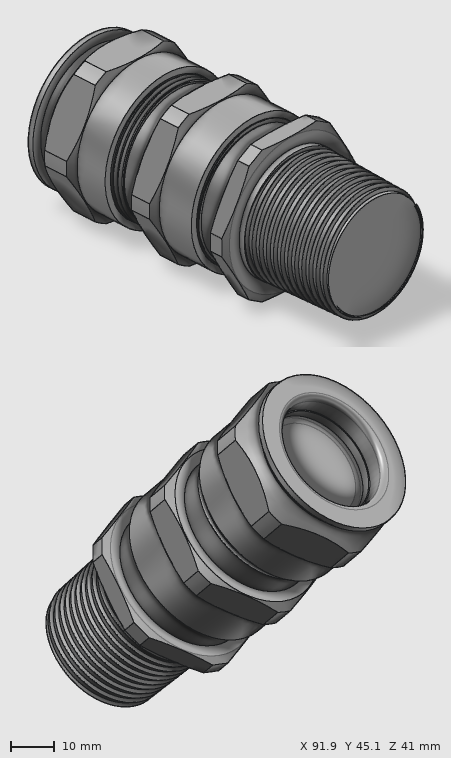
import cadquery as cq
import math


barrel_radius = 35.3 / 2
collar_radius = 20.3
across_flats = 41.0
nut_corner_radius = 22.57
entry_corner_reach = 22.25

ridge_height = 0.8
ridge_half_angle = 30
ridge_embed = 0.41
straight_pitch = 1.5
thread_clearance = 0.1
socket_radius = barrel_radius + ridge_height + thread_clearance

flange_radius = 20.2
flange_thickness = 1.52
sleeve_length = 5.4
sleeve_bore_radius = 14.0
mouth_fillet = 1.5

ring_end = 7.7
ring_bore_radius = 27.3 / 2

plug_face_radius = 12.1
plug_cone_foot_radius = 13.8
plug_face = 8.5
plug_shoulder = 8.8
plug_end = 11.0

cap_start = 3.95
cap_front_radius = 17.9
cap_cone_end = 7.5
cap_chamfer_start = 14.5
cap_hex_end = 15.8
cap_end = 24.78

male_thread_end = 28.4
male_thread_crest = 29.77
body_hex_start = 34.4
body_hex_end = 42.15
body_chamfer = 1.0
body_end = 52.4

spigot_thread_end = 53.0
spigot_thread_crest = 54.09
entry_hex_start = 59.85
entry_hex_end = 64.6
entry_chamfer = 0.6
entry_chamfer_radius = 22.4
relief_radius = 17.1
taper_start = 66.3
taper_core_end = 91.6
overall_length = 91.9

taper_pitch = 2.2
taper_slope = 1 / 32
taper_root_start = 16.2
taper_crest = 91.9
taper_end_angle = 60
end_chamfer_start = 91.2
end_chamfer_radius = 15.2
envelope_margin = 0.2


def turned(points):
    """Solid of revolution about X from (x, radius) points, closed along the axis."""
    outline = [(points[0][0], 0), *points, (points[-1][0], 0)]
    return cq.Workplane("XY").polyline(outline).close().revolve(360, (0, 0), (1, 0))


def rod(start, end, radius):
    """Cylinder along X."""
    return turned([(start, radius), (end, radius)])


def hexagonal_prism(start, end, flats):
    """Six-sided prism along X with flats facing +Z and -Z."""
    corner_diameter = flats / math.cos(math.radians(30))
    return cq.Workplane("YZ").workplane(offset=start).polygon(6, corner_diameter).extrude(end - start)


def hexagon(points):
    """Hexagon with its corners turned to the (x, radius) points."""
    return turned(points).intersect(hexagonal_prism(points[0][0], points[-1][0], across_flats))


def chamfered_hexagon(start, end, chamfer, corner_radius):
    return hexagon([
        (start, collar_radius),
        (start + chamfer, corner_radius),
        (end - chamfer, corner_radius),
        (end, collar_radius),
    ])


def thread_ridge(crest_x, start, pitch, root_radius, slope=0.0, end_angle=0.0):
    """Right-hand V ridge running in -X from crest_x to beyond start.

    root_radius is the root surface radius at crest_x; slope is its growth per unit in -X.
    end_angle turns the end at crest_x from +Z towards +Y.
    """
    length = pitch * (math.ceil((crest_x - start) / pitch) + 1)
    foot_half_width = (ridge_height + ridge_embed) * math.tan(math.radians(ridge_half_angle))

    def helix(offset, height):
        radius = root_radius + height + offset * slope
        foot = cq.Vector(0, 0, offset)
        if slope == 0:
            return cq.Wire.makeHelix(pitch, length, radius, foot)
        return cq.Wire.makeHelix(pitch, length, radius, foot, angle=math.degrees(math.atan(slope)))

    rails = [
        helix(-foot_half_width, -ridge_embed),
        helix(0, ridge_height),
        helix(foot_half_width, -ridge_embed),
    ]
    faces = []
    for first, second in zip(rails, rails[1:] + rails[:1]):
        faces.append(cq.Face.makeRuledSurface(first.Edges()[0], second.Edges()[0]))
    for end in (0, 1):
        corners = [rail.positionAt(end) for rail in rails]
        faces.append(cq.Face.makeFromWires(cq.Wire.makePolygon(corners, close=True)))
    ridge = cq.Solid.makeSolid(cq.Shell.makeShell(faces))
    ridge = cq.Solid(ridge.fix().wrapped)
    origin = cq.Vector(0, 0, 0)
    ridge = ridge.rotate(origin, cq.Vector(0, 1, 0), -90)
    ridge = ridge.rotate(origin, cq.Vector(1, 0, 0), -end_angle)
    return cq.Workplane(ridge.translate(cq.Vector(crest_x, 0, 0)))


def straight_thread(start, end, crest_x):
    """Ridge of a straight thread trimmed flat at start and end."""
    ridge = thread_ridge(crest_x, start, straight_pitch, barrel_radius)
    return ridge.intersect(rod(start, end, socket_radius))


def taper_root(x):
    return taper_root_start - (x - taper_start) * taper_slope


def make_sleeve():
    sleeve = rod(0, flange_thickness, flange_radius).union(rod(0, sleeve_length, barrel_radius))
    sleeve = sleeve.cut(rod(0, sleeve_length, sleeve_bore_radius))
    mouth = cq.selectors.RadiusNthSelector(0)
    return sleeve.faces("<X").edges(mouth).fillet(mouth_fillet)


def make_clamp_ring():
    ring = rod(sleeve_length, ring_end, barrel_radius)
    return ring.cut(rod(sleeve_length, ring_end, ring_bore_radius))


def make_plug():
    return turned([
        (plug_face, plug_face_radius),
        (plug_shoulder, plug_cone_foot_radius),
        (plug_shoulder, barrel_radius),
        (plug_end, barrel_radius),
    ])


def make_cap_nut():
    nut = hexagon([
        (cap_start, cap_front_radius),
        (cap_cone_end, nut_corner_radius),
        (cap_chamfer_start, nut_corner_radius),
        (cap_hex_end, collar_radius),
    ])
    nut = nut.union(rod(cap_chamfer_start, cap_end, collar_radius))
    nut = nut.cut(rod(cap_start, plug_end, barrel_radius))
    return nut.cut(rod(plug_end, cap_end, socket_radius))


def make_body():
    body = rod(plug_end, body_hex_start, barrel_radius)
    body = body.union(straight_thread(plug_end, male_thread_end, male_thread_crest))
    body = body.union(chamfered_hexagon(body_hex_start, body_hex_end, body_chamfer, nut_corner_radius))
    body = body.union(rod(body_hex_end - body_chamfer, body_end, collar_radius))
    return body.cut(rod(body_hex_end, body_end, socket_radius))


def make_taper_thread():
    core = turned([
        (taper_start, taper_root(taper_start)),
        (taper_core_end, taper_root(taper_core_end)),
    ])
    ridge = thread_ridge(
        taper_crest, taper_start, taper_pitch, taper_root(taper_crest), taper_slope, taper_end_angle
    )
    crest_allowance = ridge_height + envelope_margin
    envelope = turned([
        (taper_start, taper_root(taper_start) + crest_allowance),
        (end_chamfer_start, taper_root(end_chamfer_start) + crest_allowance),
        (overall_length, end_chamfer_radius),
    ])
    return core.union(ridge.intersect(envelope))


def make_entry_hexagon():
    """Chamfered hexagon whose six corners are cut flat."""
    nut = chamfered_hexagon(entry_hex_start, entry_hex_end, entry_chamfer, entry_chamfer_radius)
    corner_flats = hexagonal_prism(entry_hex_start, entry_hex_end, 2 * entry_corner_reach)
    return nut.intersect(corner_flats.rotate((0, 0, 0), (1, 0, 0), 30))


def make_entry():
    entry = rod(body_hex_end, entry_hex_start, barrel_radius)
    entry = entry.union(straight_thread(body_hex_end, spigot_thread_end, spigot_thread_crest))
    entry = entry.union(make_entry_hexagon())
    entry = entry.union(rod(entry_hex_end, taper_start, relief_radius))
    return entry.union(make_taper_thread())


sleeve = make_sleeve()
clamp_ring = make_clamp_ring()
plug = make_plug()
cap_nut = make_cap_nut()
body = make_body()
entry = make_entry()

result = cq.Compound.makeCompound([
    sleeve.val(),
    clamp_ring.val(),
    plug.val(),
    cap_nut.val(),
    body.val(),
    entry.val(),
])